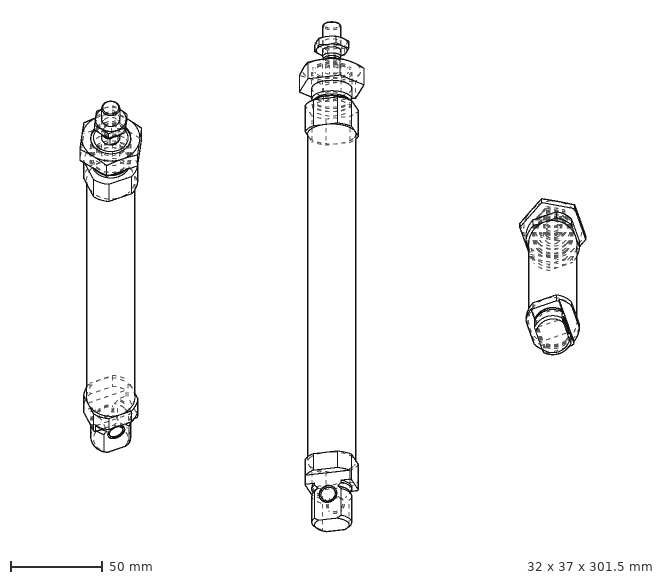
import cadquery as cq
import math

total_height = 301.5
nose_top = 274.0
head_top = 251.5
head_bottom = 235.8
cap_top = 38.0
cap_shoulder = 28.0
cap_bottom = 22.5

tube_diameter = 26.5
boss_corner_diameter = 29.8
boss_across_flats = 26.5
thread_diameter = 22.0
groove_diameter = 19.5
nose_groove_width = 2.7
nose_neck_diameter = 21.0
nose_neck_height = 2.7
tail_collar_height = 1.2
tail_groove_width = 4.0
thread_end_chamfer = 1.5
tongue_thickness = 16.0
pivot_hole_diameter = 8.0
pivot_counterbore_diameter = 10.0
pivot_counterbore_depth = 0.5
pivot_hole_height = 15.5

rod_diameter = 10.0
rod_tip_chamfer = 0.5
rod_neck_diameter = 8.5
rod_neck_top = 281.3
rod_neck_top_taper = 1.2
rod_neck_bottom = 280.0
rod_flats_bottom = 274.5
rod_flats_height = 6.0
rod_across_flats = 8.7
rod_insertion = 15.0
rod_bottom = nose_top - rod_insertion

mounting_nut_across_flats = 32.0
mounting_nut_thickness = 11.0
rod_nut_across_flats = 17.0
rod_nut_top = 291.0
rod_nut_thickness = 4.8
nut_chamfer_angle = 20.0
hexagon_half_angle = 30.0


def cylinder(diameter, bottom, top):
    return cq.Workplane("XY").workplane(offset=bottom).circle(diameter / 2).extrude(top - bottom)


def turned(points):
    """Revolve an outline of (radius, height) points about the Z axis."""
    return cq.Workplane("XZ").polyline(points).close().revolve(360, (0, 0, 0), (0, 1, 0))


def square_boss(bottom, top):
    """A round boss milled to four flats facing X and Y."""
    block = (
        cq.Workplane("XY")
        .workplane(offset=bottom)
        .rect(boss_across_flats, boss_across_flats)
        .extrude(top - bottom)
    )
    return block.intersect(cylinder(boss_corner_diameter, bottom, top))


def groove_points(top, width):
    """Outline of a V-shaped relief groove in a thread, from its top edge down to its bottom edge."""
    thread_radius = thread_diameter / 2
    return [
        (thread_radius, top),
        (groove_diameter / 2, top - width / 2),
        (thread_radius, top - width),
    ]


def make_nose():
    """The threaded nose that carries the mounting nut."""
    thread_radius = thread_diameter / 2
    neck_radius = nose_neck_diameter / 2
    neck_top = head_top + nose_neck_height
    return turned(
        [
            (0, nose_top),
            (thread_radius - thread_end_chamfer, nose_top),
            (thread_radius, nose_top - thread_end_chamfer),
            *groove_points(neck_top + nose_groove_width, nose_groove_width),
            (neck_radius, neck_top),
            (neck_radius, head_top),
            (0, head_top),
        ]
    )


def make_tail():
    """The end cap, whose lower part is narrowed to a pivot tongue with a cross hole."""
    thread_radius = thread_diameter / 2
    stub = turned(
        [
            (0, cap_bottom),
            (thread_radius, cap_bottom),
            *groove_points(cap_bottom - tail_collar_height, tail_groove_width),
            (thread_radius, thread_end_chamfer),
            (thread_radius - thread_end_chamfer, 0),
            (0, 0),
        ]
    )
    tongue = cq.Workplane("XY").rect(tongue_thickness, boss_corner_diameter).extrude(cap_shoulder)
    envelope = tongue.union(cylinder(boss_corner_diameter, cap_shoulder, cap_top))
    tail = square_boss(cap_bottom, cap_top).union(stub).intersect(envelope)
    return tail.cut(make_pivot_hole())


def make_pivot_hole():
    """The cutter for the cross hole along X, with a shallow counterbore on both tongue faces."""
    bore = cq.Workplane("YZ").circle(pivot_hole_diameter / 2).extrude(tongue_thickness, both=True)
    counterbore = cq.Workplane("YZ").circle(pivot_counterbore_diameter / 2).extrude(tongue_thickness)
    floor = tongue_thickness / 2 - pivot_counterbore_depth
    for start in (floor, -floor - tongue_thickness):
        bore = bore.union(counterbore.translate((start, 0, 0)))
    return bore.translate((0, 0, pivot_hole_height))


def make_housing():
    tube = cylinder(tube_diameter, cap_top, head_bottom)
    body = tube.union(square_boss(head_bottom, head_top)).union(make_nose()).union(make_tail())
    return body.cut(cylinder(rod_diameter, rod_bottom, nose_top))


def make_rod():
    """The rod with a chamfered tip, a tapered relief neck and two wrench flats."""
    radius = rod_diameter / 2
    neck_radius = rod_neck_diameter / 2
    flank = radius - neck_radius
    rod = turned(
        [
            (0, rod_bottom),
            (radius, rod_bottom),
            (radius, rod_neck_bottom - flank),
            (neck_radius, rod_neck_bottom),
            (neck_radius, rod_neck_top),
            (radius, rod_neck_top + rod_neck_top_taper),
            (radius, total_height - rod_tip_chamfer),
            (radius - rod_tip_chamfer, total_height),
            (0, total_height),
        ]
    )
    flat_cutter = cq.Workplane("XY").box(
        rod_diameter, rod_diameter, rod_flats_height, centered=(True, True, False)
    )
    offset = (rod_across_flats + rod_diameter) / 2
    for side in (-1, 1):
        rod = rod.cut(flat_cutter.translate((side * offset, 0, rod_flats_bottom)))
    return rod


def make_hex_nut(across_flats, bore, bottom, thickness, chamfer_bottom):
    """A hexagon nut with two flats facing X, its corners turned down to circles that touch the flats."""
    top = bottom + thickness
    flat_radius = across_flats / 2
    corner_radius = flat_radius / math.cos(math.radians(hexagon_half_angle))
    drop = (corner_radius - flat_radius) * math.tan(math.radians(nut_chamfer_angle))
    hexagon = cq.Workplane("XY").polygon(6, 2 * corner_radius).extrude(thickness)
    hexagon = hexagon.rotate((0, 0, 0), (0, 0, 1), hexagon_half_angle).translate((0, 0, bottom))
    envelope = cylinder(2 * corner_radius, bottom, top)
    ends = "|Z" if chamfer_bottom else ">Z"
    envelope = envelope.faces(ends).chamfer(drop, corner_radius - flat_radius)
    return hexagon.intersect(envelope).cut(cylinder(bore, bottom, top))


def make_mounting_nut():
    bottom = nose_top - mounting_nut_thickness
    return make_hex_nut(
        mounting_nut_across_flats, thread_diameter, bottom, mounting_nut_thickness, chamfer_bottom=False
    )


def make_rod_nut():
    bottom = rod_nut_top - rod_nut_thickness
    return make_hex_nut(
        rod_nut_across_flats, rod_diameter, bottom, rod_nut_thickness, chamfer_bottom=True
    )


housing = make_housing()
rod = make_rod()
mounting_nut = make_mounting_nut()
rod_nut = make_rod_nut()

result = cq.Compound.makeCompound([housing.val(), rod.val(), mounting_nut.val(), rod_nut.val()])